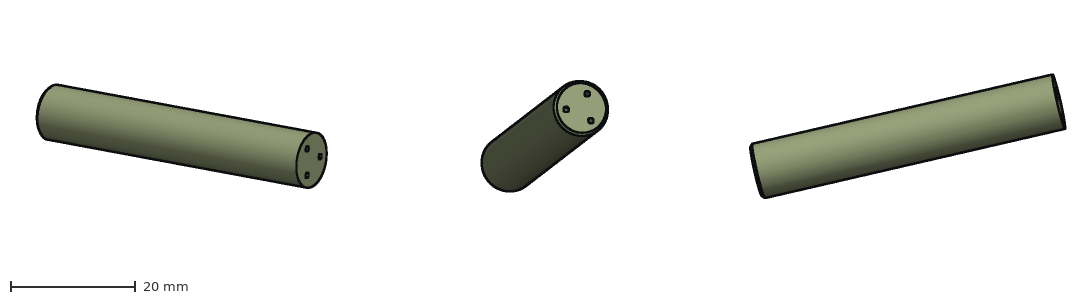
import cadquery as cq
import math

length = 50.0
diameter = 9.0
end_chamfer = 0.45

hole_count = 3
hole_diameter = 0.9
hole_circle_radius = 2.55
first_hole_angle = -8.0
helix_angle = 30.0

pitch = math.pi * diameter / math.tan(math.radians(helix_angle))
twist = 360 * length / pitch


def make_bar():
    bar = cq.Workplane("YZ", origin=(-length / 2, 0, 0)).circle(diameter / 2).extrude(length)
    return bar.faces("<X").chamfer(end_chamfer)


def make_coolant_hole(angle):
    """Twisted cutter that starts at the given angle on the hole circle."""
    start_y = hole_circle_radius * math.cos(math.radians(angle))
    start_z = hole_circle_radius * math.sin(math.radians(angle))
    return (
        cq.Workplane("YZ", origin=(-length / 2, 0, 0))
        .center(start_y, start_z)
        .circle(hole_diameter / 2)
        .center(-start_y, -start_z)
        .twistExtrude(length, twist)
    )


result = make_bar()
for index in range(hole_count):
    hole_angle = first_hole_angle + index * 360 / hole_count
    result = result.cut(make_coolant_hole(hole_angle))